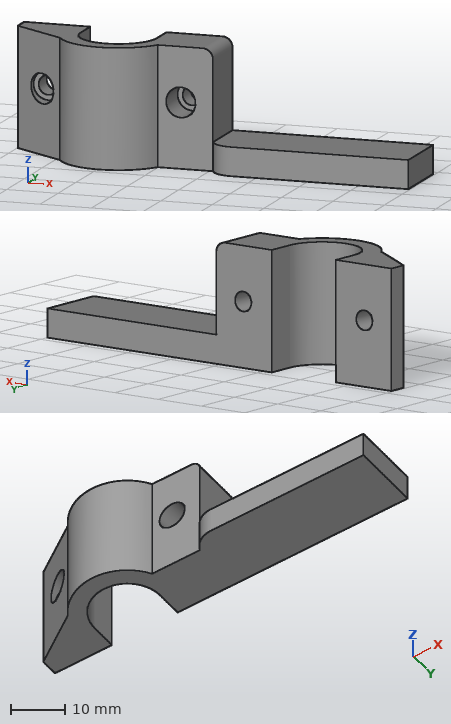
import cadquery as cq
import math

total_length = 79.5
clamp_height = 23.0
flange_end_x = 40.5
saddle_x = flange_end_x / 2
saddle_axis_depth = 5.5
bore_width = 14.8
bore_radius = bore_width / 2
outer_radius = 11.0
flange_depth = 11.05
left_end_depth = 3.7
flange_corner_radius = 2.0

tab_overhang = 3.0
tab_depth = flange_depth + tab_overhang
tab_thickness = 5.5
tab_corner_radius = 5.0
tab_start_x = 40.1

hole_offset = 14.0
hole_height = 12.5
hole_diameter = 3.75
counterbore_diameter = 5.7
counterbore_floor_depth = 4.6


def make_clamp():
    """Saddle wall with a tapered left flange and a square right flange."""
    axis_y = -saddle_axis_depth
    half_chord = math.sqrt(outer_radius**2 - (flange_depth - saddle_axis_depth) ** 2)
    clamp = (
        cq.Workplane("XY")
        .moveTo(0, 0)
        .lineTo(0, -left_end_depth)
        .lineTo(saddle_x - half_chord, -flange_depth)
        .threePointArc((saddle_x, axis_y - outer_radius), (saddle_x + half_chord, -flange_depth))
        .lineTo(flange_end_x, -flange_depth)
        .lineTo(flange_end_x, 0)
        .lineTo(saddle_x + bore_radius, 0)
        .lineTo(saddle_x + bore_radius, axis_y)
        .threePointArc((saddle_x, axis_y - bore_radius), (saddle_x - bore_radius, axis_y))
        .lineTo(saddle_x - bore_radius, 0)
        .close()
        .extrude(clamp_height)
    )
    return clamp.edges("|Y and >Z and >X").fillet(flange_corner_radius)


def make_tab():
    """Flat tab at the bottom, with its front corner next to the flange rounded."""
    tab = cq.Workplane("XY").box(
        total_length - tab_start_x, tab_depth, tab_thickness, centered=False
    )
    tab = tab.translate((tab_start_x, -tab_depth, 0))
    return tab.edges("|Z and <X and <Y").fillet(tab_corner_radius)


def make_screw_cutter(x):
    """Through hole along Y, counterbored from the front down to the counterbore floor."""
    plane = cq.Workplane("XZ").center(x, hole_height)
    through = plane.circle(hole_diameter / 2).extrude(flange_depth)
    counterbore = (
        plane.workplane(offset=counterbore_floor_depth)
        .circle(counterbore_diameter / 2)
        .extrude(flange_depth - counterbore_floor_depth)
    )
    return through.union(counterbore)


result = make_clamp().union(make_tab())
for side in (-1, 1):
    result = result.cut(make_screw_cutter(saddle_x + side * hole_offset))